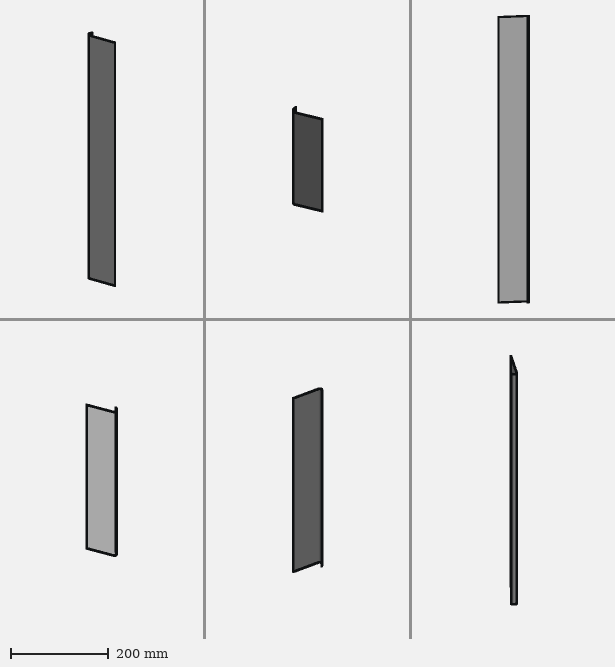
import cadquery as cq
import math

length = 593.0
width = 63.0
depth = 12.5

thickness = 1.0
corner_radius = 5.5
hook_radius = 7.0
hook_angle = math.radians(45)


def on_circle(center, radius, angle):
    """Point on a circle, with the angle measured from the -X direction towards +Y."""
    return (center[0] - radius * math.cos(angle), center[1] + radius * math.sin(angle))


corner_center = (corner_radius, corner_radius)
hook_center = (hook_radius, corner_radius)
corner_inner_radius = corner_radius - thickness
hook_inner_radius = hook_radius - thickness
corner_middle = math.radians(-45)
hook_middle = hook_angle / 2

hook_end = on_circle(hook_center, hook_radius, hook_angle)
hook_inner_end = on_circle(hook_center, hook_inner_radius, hook_angle)
lip_rise = depth - hook_end[1]
lip_run = lip_rise * math.tan(hook_angle)

section = (
    cq.Workplane("XY")
    .moveTo(width, 0)
    .lineTo(corner_radius, 0)
    .threePointArc(on_circle(corner_center, corner_radius, corner_middle), (0, corner_radius))
    .threePointArc(
        on_circle(hook_center, hook_radius, hook_middle),
        hook_end,
    )
    .line(lip_run, lip_rise)
    .lineTo(hook_inner_end[0] + lip_run, hook_inner_end[1] + lip_rise)
    .lineTo(*hook_inner_end)
    .threePointArc(
        on_circle(hook_center, hook_inner_radius, hook_middle),
        (thickness, corner_radius),
    )
    .threePointArc(
        on_circle(corner_center, corner_inner_radius, corner_middle),
        (corner_radius, thickness),
    )
    .lineTo(width, thickness)
    .close()
)

result = section.extrude(length)